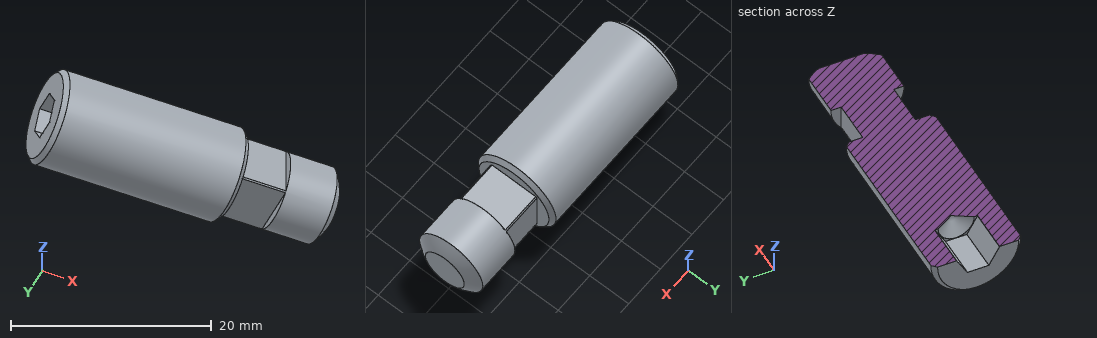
import cadquery as cq
import math

BODY_DIAMETER = 10.0
BODY_LENGTH = 20.3
BODY_CHAMFER = 0.5

NECK_LENGTH = 4.84
NECK_ACROSS_FLATS = 5.9

HEAD_DIAMETER = 8.15
HEAD_LENGTH = 6.1
CROWN_HEIGHT = 1.0
TIP_DIAMETER = 5.0

SOCKET_ACROSS_FLATS = 4.1
SOCKET_DRILL_DIAMETER = 4.0
SOCKET_DEPTH = 5.0
SOCKET_CONE_ANGLE = 120.0

HEAD_START = BODY_LENGTH + NECK_LENGTH
TOTAL_LENGTH = HEAD_START + HEAD_LENGTH


def make_body():
    body = cq.Workplane("YZ").circle(BODY_DIAMETER / 2).extrude(BODY_LENGTH)
    return body.edges("%CIRCLE").chamfer(BODY_CHAMFER)


def make_neck():
    neck_plane = cq.Workplane("YZ", origin=(BODY_LENGTH, 0, 0))
    round_bar = neck_plane.circle(HEAD_DIAMETER / 2).extrude(NECK_LENGTH)
    square_bar = neck_plane.rect(NECK_ACROSS_FLATS, NECK_ACROSS_FLATS).extrude(NECK_LENGTH)
    return round_bar.intersect(square_bar)


def make_head():
    rim_radius = HEAD_DIAMETER / 2
    tip_radius = TIP_DIAMETER / 2
    crown_start = TOTAL_LENGTH - CROWN_HEIGHT
    center_to_rim = (rim_radius**2 - tip_radius**2 - CROWN_HEIGHT**2) / (2 * CROWN_HEIGHT)
    sphere_radius = math.hypot(center_to_rim, rim_radius)
    middle_offset = center_to_rim + CROWN_HEIGHT / 2
    middle_radius = math.sqrt(sphere_radius**2 - middle_offset**2)
    return (
        cq.Workplane("XY")
        .moveTo(HEAD_START, 0)
        .lineTo(HEAD_START, rim_radius)
        .lineTo(crown_start, rim_radius)
        .threePointArc((crown_start + CROWN_HEIGHT / 2, middle_radius), (TOTAL_LENGTH, tip_radius))
        .lineTo(TOTAL_LENGTH, 0)
        .close()
        .revolve(360, (0, 0, 0), (1, 0, 0))
    )


def make_socket():
    corner_diameter = SOCKET_ACROSS_FLATS / math.cos(math.pi / 6)
    hexagon = cq.Workplane("YZ").polygon(6, corner_diameter).extrude(SOCKET_DEPTH)
    cone_radius = SOCKET_DRILL_DIAMETER / 2
    cone_depth = cone_radius / math.tan(math.radians(SOCKET_CONE_ANGLE / 2))
    cone_base = cq.Vector(SOCKET_DEPTH, 0, 0)
    cone = cq.Solid.makeCone(cone_radius, 0, cone_depth, cone_base, cq.Vector(1, 0, 0))
    return hexagon.union(cq.Workplane(cone))


result = make_body().union(make_neck()).union(make_head()).cut(make_socket())